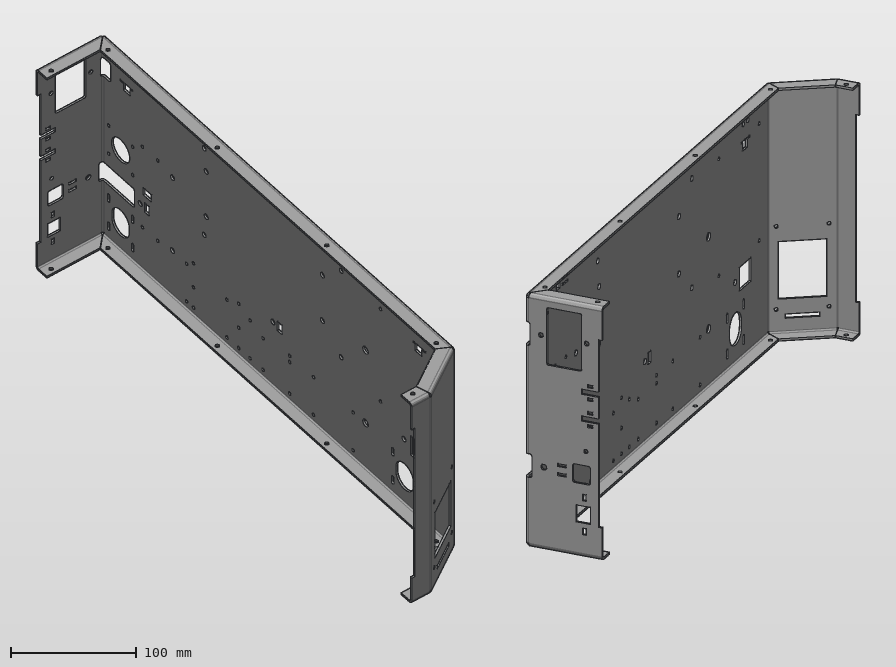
import cadquery as cq
import math


width = 487.57
depth = 67.5
height = 220.0
thickness = 2.0
bend_inner_radius = 1.3
bend_radius = bend_inner_radius + thickness
flange_width = 14.0
mitre_gap = 0.3
slant_run = 31.3
slant_drop = 48.1
cut_clearance = 0.5

tab_height = 28.5
recess_depth = 3.2

tiny_hole = 3.0
flange_hole = 3.4
small_hole = 4.0
medium_hole = 4.6
large_hole = 5.0
access_hole = 7.0
window_corner = 2.0

half_height = height / 2
cut_depth = thickness + 2 * cut_clearance

outer_corners = [
    (0, 0),
    (0, depth),
    (width - slant_run, depth),
    (width, depth - slant_drop),
    (width, 0),
]


def direction(start, end):
    length = math.dist(start, end)
    return ((end[0] - start[0]) / length, (end[1] - start[1]) / length)


def inward_mitre(index):
    """Vector from an outer corner to the matching corner of the outline inset by 1 mm."""
    if index == 0:
        return (1, 0)
    if index == len(outer_corners) - 1:
        return (-1, 0)
    before = direction(outer_corners[index - 1], outer_corners[index])
    after = direction(outer_corners[index], outer_corners[index + 1])
    scale = 1 / (1 + before[0] * after[0] + before[1] * after[1])
    return ((before[1] + after[1]) * scale, -(before[0] + after[0]) * scale)


def inset_corner(index, inset):
    corner = outer_corners[index]
    mitre = inward_mitre(index)
    return (corner[0] + inset * mitre[0], corner[1] + inset * mitre[1])


def prism(points, bottom, top):
    return cq.Workplane("XY").workplane(offset=bottom).polyline(points).close().extrude(top - bottom)


def both_ends(shape):
    """The shape near the top together with its mirror image near the bottom."""
    return shape.union(shape.mirror("XY"))


def folded_prism(inset, corner_radius, half_length):
    points = [inset_corner(i, inset) for i in range(len(outer_corners))]
    folds = cq.selectors.BoxSelector((-1, 1, -height), (width + 1, depth + 1, height))
    bends = prism(points, -half_length, half_length).edges("|Z").edges(folds)
    return bends.fillet(corner_radius)


def walls():
    half_length = half_height - bend_radius
    outside = folded_prism(0, bend_radius, half_length)
    inside = folded_prism(thickness, bend_inner_radius, half_length)
    return outside.cut(inside)


def flange_bend(index):
    """Quarter-round bend above one wall, running between the ends of its straight part."""
    start = inset_corner(index, bend_radius)
    end = inset_corner(index + 1, bend_radius)
    along = direction(start, end)
    plane = cq.Plane(
        origin=(start[0], start[1], half_height - bend_radius),
        xDir=(-along[1], along[0], 0),
        normal=(along[0], along[1], 0),
    )
    section = (
        cq.Workplane(plane)
        .moveTo(bend_radius, 0)
        .radiusArc((0, bend_radius), -bend_radius)
        .lineTo(0, bend_inner_radius)
        .radiusArc((bend_inner_radius, 0), bend_inner_radius)
        .close()
    )
    return section.extrude(math.dist(start, end))


def flange_plate(index):
    points = [
        inset_corner(index, bend_radius),
        inset_corner(index + 1, bend_radius),
        inset_corner(index + 1, flange_width),
        inset_corner(index, flange_width),
    ]
    return prism(points, half_height - thickness, half_height)


def mitre_slit(index):
    """Narrow gap between the flanges that meet at a corner."""
    start = outer_corners[index]
    end = inset_corner(index, flange_width + mitre_gap)
    across = direction(start, end)
    shift = (-across[1] * mitre_gap / 2, across[0] * mitre_gap / 2)
    points = [
        (start[0] + shift[0], start[1] + shift[1]),
        (end[0] + shift[0], end[1] + shift[1]),
        (end[0] - shift[0], end[1] - shift[1]),
        (start[0] - shift[0], start[1] - shift[1]),
    ]
    return prism(points, half_height - bend_radius, half_height)


def folded_sheet():
    sheet = walls()
    last = len(outer_corners) - 1
    for index in range(last):
        sheet = sheet.union(both_ends(flange_bend(index).union(flange_plate(index))))
    for index in range(1, last):
        sheet = sheet.cut(both_ends(mitre_slit(index)))
    return sheet


def front_recess():
    return cq.Workplane("XY").box(
        width, recess_depth, height - 2 * tab_height, centered=(False, False, True)
    )


back_plane = cq.Plane(origin=(0, depth, 0), xDir=(1, 0, 0), normal=(0, -1, 0))
left_plane = cq.Plane(origin=(0, 0, 0), xDir=(0, 1, 0), normal=(1, 0, 0))
slant_plane = cq.Plane(
    origin=(width - slant_run / 2, depth - slant_drop / 2, 0),
    xDir=(slant_run, -slant_drop, 0),
    normal=(-slant_drop, -slant_run, 0),
)


def cutter_sketch(plane):
    return cq.Workplane(plane).workplane(offset=-cut_clearance)


def holes(plane, diameter, points):
    return cutter_sketch(plane).pushPoints(points).circle(diameter / 2).extrude(cut_depth)


def slots(plane, length, slot_width, points):
    """Round-ended slots that run vertically."""
    return cutter_sketch(plane).pushPoints(points).slot2D(length, slot_width, 90).extrude(cut_depth)


def windows(plane, size, points, corner_radius=0):
    cutter = cutter_sketch(plane).pushPoints(points).rect(*size).extrude(cut_depth)
    if corner_radius:
        cutter = cutter.edges(cq.selectors.ParallelDirSelector(plane.zDir)).fillet(corner_radius)
    return cutter


def grid(x_values, y_values):
    return [(x, y) for x in x_values for y in y_values]


def around(center, x_pitch, y_pitch):
    x_values = (center[0] - x_pitch / 2, center[0] + x_pitch / 2)
    y_values = (center[1] - y_pitch / 2, center[1] + y_pitch / 2)
    return grid(x_values, y_values)


motor_pitch = 31.0
upper_motor = (25.0, 0.5)
upper_motor_bore = 23.6
lower_motors = [(25.0, -79.3), (393.5, -79.3)]
lower_motor_bore_width = 22.5
lower_motor_travel = 5.5
belt_row = -38.7
belt_window_height = 20.5
belt_window_row = -39.2


def motor_mounts():
    cutters = [
        holes(back_plane, upper_motor_bore, [upper_motor]),
        holes(back_plane, tiny_hole, around(upper_motor, motor_pitch, motor_pitch)),
    ]
    for motor in lower_motors:
        bore_length = lower_motor_bore_width + lower_motor_travel
        slot_length = tiny_hole + lower_motor_travel
        cutters.append(slots(back_plane, bore_length, lower_motor_bore_width, [motor]))
        corners = around(motor, motor_pitch, motor_pitch)
        cutters.append(slots(back_plane, slot_length, tiny_hole, corners))
    return cutters


def belt_openings():
    clip_size = (6.0, 10.0)
    end_window_size = (22.0, belt_window_height)
    return [
        holes(back_plane, large_hole, grid((50.4, 222.6, 392.7), (belt_row,))),
        windows(back_plane, clip_size, grid((58.9, 231.2), (belt_row,))),
        windows(back_plane, end_window_size, [(412.0, belt_window_row)]),
    ]


def board_mounts():
    """Screw holes of the circuit boards fixed to the back panel."""
    bottom_row = -101.0
    upper_row = -59.5
    patterns = [
        grid((53.3, 73.2), (25.7, -62.7)),
        grid((110.5, 162.9, 192.9, 244.3, 275.2, 326.5), (upper_row, bottom_row)),
        grid((119.5, 178.2), (-52.3, -78.7, bottom_row)),
        grid((209.8,), (-66.3, bottom_row)),
        [(244.3, -66.3)],
        grid((362.1, 438.2), (81.2, -20.5)),
    ]
    return [holes(back_plane, tiny_hole, points) for points in patterns]


def panel_mounts():
    return [
        holes(back_plane, medium_hole, grid((133.4, 311.1), (84.7, -10.4))),
        holes(back_plane, large_hole, grid((136.0, 286.8), (61.4, 11.5))),
        holes(back_plane, large_hole, grid((92.3,), (21.3, -58.8))),
        holes(back_plane, access_hole, grid((342.7,), (21.3, -58.8))),
    ]


def hook_openings():
    """Two screw holes above a T-shaped opening, near each end of the back panel."""
    hook_top = 78.3
    bar_size = (15.8, 1.5)
    stem_size = (8.6, 8.5)
    screw_row = 92.7
    screw_pitch = 8.7
    cutters = []
    for screw_x, stem_x in ((32.2, 32.9), (412.5, 411.4)):
        screws = [(screw_x - screw_pitch / 2, screw_row), (screw_x + screw_pitch / 2, screw_row)]
        cutters.append(holes(back_plane, small_hole, screws))
        cutters.append(windows(back_plane, bar_size, [(screw_x, hook_top - bar_size[1] / 2)]))
        cutters.append(windows(back_plane, stem_size, [(stem_x, hook_top - stem_size[1] / 2)]))
    return cutters


def cable_openings():
    square_size = (7.2, 7.2)
    tie_size = (10.3, 1.5)
    lower_size = (10.3, 7.8)
    return [
        windows(back_plane, square_size, [(58.6, 93.8)]),
        windows(back_plane, tie_size, grid((71.8,), (96.8, 91.0))),
        windows(back_plane, lower_size, [(59.5, -22.2)]),
    ]


def corner_opening(reach_back, reach_wall, opening_height, center_z):
    on_back = windows(
        back_plane, (2 * reach_back, opening_height), [(0, center_z)], window_corner
    )
    on_wall = windows(
        left_plane, (2 * reach_wall, opening_height), [(depth, center_z)], window_corner
    )
    return on_back.union(on_wall)


def corner_openings():
    upper = corner_opening(
        reach_back=12.0, reach_wall=4.3, opening_height=belt_window_height, center_z=75.5
    )
    lower = corner_opening(
        reach_back=42.9, reach_wall=6.0, opening_height=belt_window_height, center_z=belt_window_row
    )
    return [upper, lower]


def power_inlet():
    center = (33.5, 76.3)
    opening_center = (33.1, 76.3)
    opening_size = (30.6, 50.0)
    opening_corner = 1.5
    screw_pitch = 40.0
    screws = [(center[0] - screw_pitch / 2, center[1]), (center[0] + screw_pitch / 2, center[1])]
    return [
        windows(left_plane, opening_size, [opening_center], opening_corner),
        holes(left_plane, small_hole, screws),
    ]


def edge_notches():
    """Notches open to the front edge, each between two short tie slots."""
    notch_end = 17.8
    notch_height = 4.5
    tie_size = (4.5, 2.5)
    tie_pitch = 11.4
    tie_y = 10.5
    cutters = []
    for notch_z in (33.8, 10.5):
        cutters.append(windows(left_plane, (2 * notch_end, notch_height), [(0, notch_z)]))
        tie_rows = (notch_z - tie_pitch / 2, notch_z + tie_pitch / 2)
        cutters.append(windows(left_plane, tie_size, grid((tie_y,), tie_rows)))
    return cutters


def connector_openings():
    indicator_hole = 3.5
    rounded_size = (15.6, 16.2)
    square_size = (12.6, 14.8)
    screw_slot_size = (3.0, 5.5)
    cable_tie_size = (7.5, 2.5)
    return [
        holes(left_plane, indicator_hole, [(14.2, -17.6)]),
        windows(left_plane, rounded_size, [(18.0, -38.2)], window_corner),
        windows(left_plane, square_size, [(16.5, -72.9)]),
        windows(left_plane, screw_slot_size, grid((15.5,), (-58.1, -87.6))),
        holes(left_plane, large_hole, [(51.0, -38.1)]),
        windows(left_plane, cable_tie_size, grid((35.3,), (-33.9, -41.9))),
    ]


def display_openings():
    window_size = (39.0, 50.0)
    window_z = -53.9
    screw_center_z = -51.7
    screw_pitch = (42.5, 72.2)
    slit_size = (27.8, 3.6)
    slit_z = -94.0
    return [
        windows(slant_plane, window_size, [(0, window_z)]),
        holes(slant_plane, tiny_hole, around((0, screw_center_z), *screw_pitch)),
        windows(slant_plane, slit_size, [(0, slit_z)]),
    ]


def flange_holes():
    screw_inset = 9.2
    end_screw_y = 8.0
    points = [(x, depth - screw_inset) for x in (17.9, 159.9, 301.9, 443.9)]
    points += [(screw_inset, end_screw_y), (width - screw_inset, end_screw_y)]
    cutter = cq.Workplane("XY").pushPoints(points).circle(flange_hole / 2)
    return cutter.extrude(half_height + 1, both=True)


def all_cutters():
    cutters = [front_recess(), flange_holes()]
    cutters += motor_mounts() + belt_openings() + board_mounts() + panel_mounts()
    cutters += hook_openings() + cable_openings() + corner_openings()
    cutters += power_inlet() + edge_notches() + connector_openings() + display_openings()
    return cutters


result = folded_sheet()
for cutter in all_cutters():
    result = result.cut(cutter)